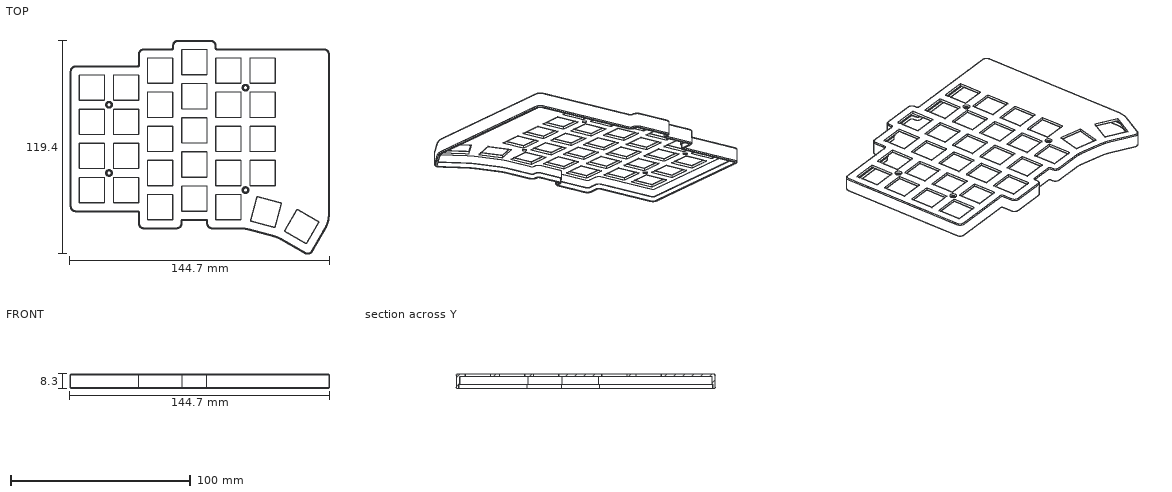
import cadquery as cq
import math

key_pitch = 19.05
key_opening = 14.0
key_margin = 5.125
cell_half = key_opening / 2 + key_margin
overall_width = 144.65
overall_height = 8.3
outer_stagger = key_pitch / 2
middle_stagger = key_pitch / 4

plate_thickness = 1.5
upper_wall_thickness = 2.0
lower_wall_thickness = 1.5
ledge_depth = 5.8
edge_chamfer = 0.55

corner_radius = 3.0
inner_corner_radius = 0.5
thumb_bend_radius = 20.0
side_bend_radius = 15.0

screw_hole_diameter = 2.4
screw_head_diameter = 3.8
screw_head_angle = 90.0

first_x = cell_half
outer_row_y = cell_half
inner_row_y = outer_row_y - outer_stagger
middle_row_y = inner_row_y + middle_stagger
columns = [
    (outer_row_y, 4),
    (outer_row_y, 4),
    (inner_row_y, 5),
    (middle_row_y, 5),
    (inner_row_y, 5),
    (inner_row_y + key_pitch, 4),
]
outer_column = 0
left_inner_column = 2
middle_column = 3
right_inner_column = 4
left_screw_spacing = 2 * key_pitch
right_screw_spacing = 3 * key_pitch

inner_thumb_shift = 1.9
inner_thumb_drop = 2.75
outer_thumb_shift = 21.85
outer_thumb_drop = 10.83
inner_thumb_turn = -15.0
outer_thumb_turn = 2 * inner_thumb_turn

last_x = first_x + (len(columns) - 1) * key_pitch
inner_thumb = (last_x + inner_thumb_shift, inner_row_y - inner_thumb_drop, inner_thumb_turn)
outer_thumb = (last_x + outer_thumb_shift, inner_row_y - outer_thumb_drop, outer_thumb_turn)


def column_x(index):
    return first_x + index * key_pitch


def column_bottom(index):
    return columns[index][0] - cell_half


def column_top(index):
    lowest, count = columns[index]
    return lowest + (count - 1) * key_pitch + cell_half


def thumb_point(thumb, along, across):
    """Point given in the turned frame of a thumb key."""
    x, y, turn = thumb
    angle = math.radians(turn)
    return (
        x + along * math.cos(angle) - across * math.sin(angle),
        y + along * math.sin(angle) + across * math.cos(angle),
    )


def crossing(point_a, turn_a, point_b, turn_b):
    """Crossing of two lines, each given by a point and a direction in degrees."""
    ax, ay = math.cos(math.radians(turn_a)), math.sin(math.radians(turn_a))
    bx, by = math.cos(math.radians(turn_b)), math.sin(math.radians(turn_b))
    dx, dy = point_b[0] - point_a[0], point_b[1] - point_a[1]
    travel = (dx * by - dy * bx) / (ax * by - ay * bx)
    return (point_a[0] + travel * ax, point_a[1] + travel * ay)


def outline_corners():
    """Counter-clockwise outline as (point, rounding radius)."""
    inner_left = column_x(left_inner_column) - cell_half
    notch_left = column_x(left_inner_column) + cell_half
    notch_right = column_x(right_inner_column) - cell_half
    middle_left = column_x(middle_column) - cell_half
    middle_right = column_x(middle_column) + cell_half
    inner_bottom = column_bottom(left_inner_column)
    inner_top = column_top(left_inner_column)

    inner_thumb_edge = thumb_point(inner_thumb, 0, -cell_half)
    outer_thumb_edge = thumb_point(outer_thumb, 0, -cell_half)
    thumb_tip = thumb_point(outer_thumb, cell_half, -cell_half)
    first_bend = crossing((0, inner_bottom), 0, inner_thumb_edge, inner_thumb[2])
    second_bend = crossing(inner_thumb_edge, inner_thumb[2], outer_thumb_edge, outer_thumb[2])
    side_bend = crossing(thumb_tip, outer_thumb[2] + 90, (overall_width, 0), 90)

    return [
        ((0, column_bottom(outer_column)), corner_radius),
        ((inner_left, column_bottom(outer_column)), inner_corner_radius),
        ((inner_left, inner_bottom), corner_radius),
        ((notch_left, inner_bottom), corner_radius),
        ((notch_left, column_bottom(middle_column)), inner_corner_radius),
        ((notch_right, column_bottom(middle_column)), inner_corner_radius),
        ((notch_right, inner_bottom), corner_radius),
        (first_bend, thumb_bend_radius),
        (second_bend, thumb_bend_radius),
        (thumb_tip, corner_radius),
        (side_bend, side_bend_radius),
        ((overall_width, inner_top), corner_radius),
        ((middle_right, inner_top), inner_corner_radius),
        ((middle_right, column_top(middle_column)), corner_radius),
        ((middle_left, column_top(middle_column)), corner_radius),
        ((middle_left, inner_top), inner_corner_radius),
        ((inner_left, inner_top), corner_radius),
        ((inner_left, column_top(outer_column)), inner_corner_radius),
        ((0, column_top(outer_column)), corner_radius),
    ]


def round_corner(before, corner, after, radius):
    """Start, middle and end of the arc that rounds one corner."""
    to_before = cq.Vector(*before) - cq.Vector(*corner)
    to_after = cq.Vector(*after) - cq.Vector(*corner)
    half_angle = to_before.getAngle(to_after) / 2
    tangent_length = radius / math.tan(half_angle)
    arc_gap = radius / math.sin(half_angle) - radius
    toward_before = to_before.normalized()
    toward_after = to_after.normalized()
    bisector = (toward_before + toward_after).normalized()
    origin = cq.Vector(*corner)
    return (
        origin + toward_before * tangent_length,
        origin + bisector * arc_gap,
        origin + toward_after * tangent_length,
    )


def rounded_outline():
    corners = outline_corners()
    count = len(corners)
    arcs = []
    for index, (point, radius) in enumerate(corners):
        before = corners[index - 1][0]
        after = corners[(index + 1) % count][0]
        arcs.append(round_corner(before, point, after, radius))
    path = cq.Workplane("XY").moveTo(arcs[-1][2].x, arcs[-1][2].y)
    for start, middle, end in arcs:
        path = path.lineTo(start.x, start.y)
        path = path.threePointArc((middle.x, middle.y), (end.x, end.y))
    return path.close()


def make_body():
    body = rounded_outline().extrude(overall_height)
    return body.faces("<Z or >Z").chamfer(edge_chamfer)


def make_cavity():
    """Hollow below the plate, open at the underside and wider below the ledge."""
    upper = rounded_outline().offset2D(-upper_wall_thickness).extrude(overall_height - plate_thickness)
    lower = rounded_outline().offset2D(-lower_wall_thickness).extrude(overall_height - ledge_depth)
    return upper.union(lower)


def make_key_openings():
    centres = []
    for index, (lowest, count) in enumerate(columns):
        for row in range(count):
            centres.append((column_x(index), lowest + row * key_pitch))
    openings = cq.Workplane("XY").pushPoints(centres).rect(key_opening, key_opening)
    openings = openings.extrude(overall_height)
    for x, y, turn in (inner_thumb, outer_thumb):
        thumb_opening = cq.Workplane("XY").rect(key_opening, key_opening).extrude(overall_height)
        thumb_opening = thumb_opening.rotate((0, 0, 0), (0, 0, 1), turn).translate((x, y, 0))
        openings = openings.union(thumb_opening)
    return openings


def screw_positions():
    left_x = column_x(outer_column) + key_pitch / 2
    right_x = column_x(right_inner_column) + key_pitch / 2
    left_y = outer_row_y + key_pitch / 2
    right_y = inner_row_y + key_pitch / 2
    return [
        (left_x, left_y),
        (left_x, left_y + left_screw_spacing),
        (right_x, right_y),
        (right_x, right_y + right_screw_spacing),
    ]


def cut_screw_holes(part):
    """Countersunk holes between the keys, through the plate."""
    top = part.faces(">Z").workplane(origin=(0, 0, 0)).pushPoints(screw_positions())
    return top.cskHole(screw_hole_diameter, screw_head_diameter, screw_head_angle)


result = make_body().cut(make_cavity()).cut(make_key_openings())
result = cut_screw_holes(result)